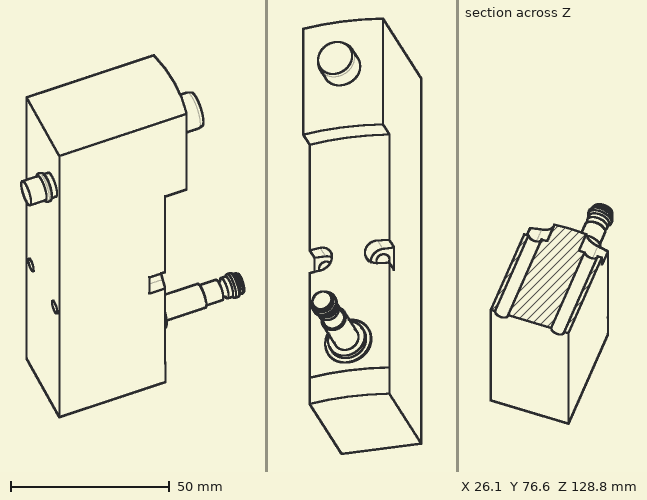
import cadquery as cq


width = 26.1
height = 128.8
crown_rise = 1.5
body_depth = 37.9
cap_height = 9.3
cap_depth = 38.0
head_bottom = 91.5
head_depth = 45.2

mount_hole_diameter = 4.3
mount_hole_offset = 9.4
mount_hole_z = 50.2
slot_width = 8.0
slot_floor = 30.9

pin_x = 7.3
pin_z = 108.3
pin_diameter = 8.0
pin_length = 8.9
collar_diameter = 9.4
collar_start = 1.8
collar_width = 1.8
collar_edge_radius = 0.6

boss_z = 112.3
boss_diameter = 12.0
boss_end = 52.7
boss_chamfer_length = 1.3
boss_chamfer_depth = 0.4

plug_z = 19.6
plug_root = body_depth - 2 * crown_rise
washer_radius = 15.0 / 2
washer_end = body_depth + 0.3
flange_radius = 12.0 / 2
flange_end = 39.9
shank_radius = 8.0 / 2
shank_end = 54.4
stem_radius = 6.8 / 2
neck_start = 60.4
neck_end = 62.2
neck_radius = 2.6
rim_radius = 8.0 / 2
rim_start = 64.5
rim_end = 65.5
rim_slope = 0.8
tip_radius = 3.1
tip_chamfer_length = 0.6
plug_end = 67.7


def crowned_block(depth, bottom, top):
    """Block with a flat front face and a gently arched rear face."""
    half = width / 2
    side_depth = depth - crown_rise
    return (
        cq.Workplane("XY", origin=(0, 0, bottom))
        .moveTo(-half, 0)
        .lineTo(half, 0)
        .lineTo(half, side_depth)
        .threePointArc((0, depth), (-half, side_depth))
        .close()
        .extrude(top - bottom)
    )


def rod(x, z, diameter, start, end):
    """Cylinder along Y between two depths."""
    plane = cq.Plane(origin=(x, start, z), xDir=(1, 0, 0), normal=(0, 1, 0))
    return cq.Workplane(plane).circle(diameter / 2).extrude(end - start)


def front_pin():
    pin = rod(pin_x, pin_z, pin_diameter, -pin_length, 0)
    collar = rod(pin_x, pin_z, collar_diameter, -collar_start - collar_width, -collar_start)
    return pin.union(collar.edges().fillet(collar_edge_radius))


def head_boss():
    boss = rod(0, boss_z, boss_diameter, head_depth - 2 * crown_rise, boss_end)
    return boss.faces(">Y").chamfer(boss_chamfer_length, boss_chamfer_depth)


def rear_plug():
    """Turned plug: radius against depth, revolved about its own axis."""
    return (
        cq.Workplane("XY", origin=(0, 0, plug_z))
        .moveTo(0, plug_root)
        .lineTo(washer_radius, plug_root)
        .lineTo(washer_radius, washer_end)
        .lineTo(flange_radius, washer_end)
        .lineTo(flange_radius, flange_end)
        .lineTo(shank_radius, flange_end)
        .lineTo(shank_radius, shank_end)
        .lineTo(stem_radius, shank_end)
        .lineTo(stem_radius, neck_start)
        .threePointArc((neck_radius, (neck_start + neck_end) / 2), (stem_radius, neck_end))
        .lineTo(stem_radius, rim_start - rim_slope)
        .lineTo(rim_radius, rim_start)
        .lineTo(rim_radius, rim_end)
        .lineTo(stem_radius, rim_end + rim_slope)
        .lineTo(stem_radius, plug_end - tip_chamfer_length)
        .lineTo(tip_radius, plug_end)
        .lineTo(0, plug_end)
        .close()
        .revolve(360, (0, 0, 0), (0, 1, 0))
    )


def mount_cut(side):
    """Through hole and its round-ended rear slot; side is -1 or +1."""
    x = side * mount_hole_offset
    hole = rod(x, mount_hole_z, mount_hole_diameter, 0, body_depth)
    slot_end = rod(x, mount_hole_z, slot_width, slot_floor, body_depth)
    slot_depth = body_depth - slot_floor
    opening_length = width / 2 - mount_hole_offset
    opening = cq.Workplane("XY").box(opening_length, slot_depth, slot_width).translate(
        (side * (mount_hole_offset + opening_length / 2), slot_floor + slot_depth / 2, mount_hole_z)
    )
    return hole.union(slot_end).union(opening)


result = crowned_block(cap_depth, 0, cap_height)
result = result.union(crowned_block(body_depth, cap_height, head_bottom))
result = result.union(crowned_block(head_depth, head_bottom, height))
for side in (-1, 1):
    result = result.cut(mount_cut(side))
for fitting in (front_pin(), head_boss(), rear_plug()):
    result = result.union(fitting)